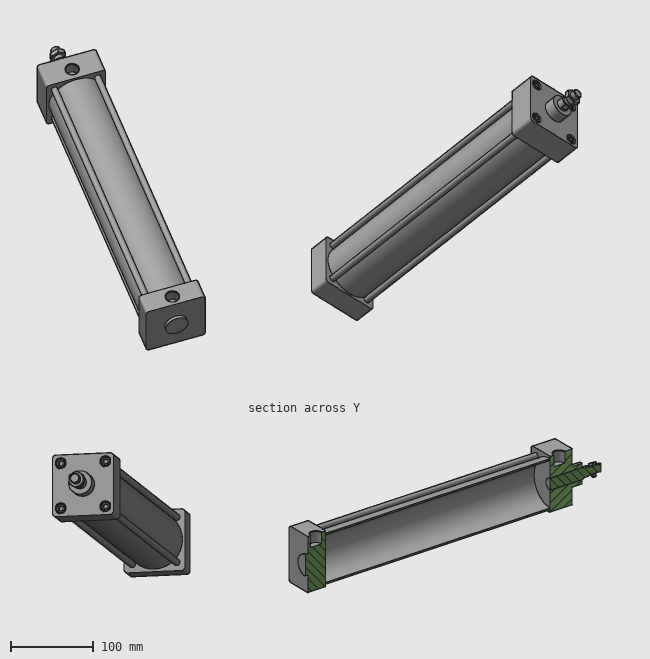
import cadquery as cq
import math

LENGTH = 447.5
TIP_X = -LENGTH / 2

CAP_WIDTH = 76.0
CAP_CORNER_RADIUS = 4.5
FRONT_CAP_LENGTH = 34.0
REAR_CAP_LENGTH = 27.0
BOSS_DIAMETER = 28.5
FRONT_BOSS_LENGTH = 14.8
REAR_BOSS_LENGTH = 4.0
FRONT_CAP_SETBACK = 43.5
FRONT_CAP_X = TIP_X + FRONT_CAP_SETBACK
REAR_CAP_END_X = LENGTH / 2 - REAR_BOSS_LENGTH
FRONT_CAP_END_X = FRONT_CAP_X + FRONT_CAP_LENGTH
REAR_CAP_X = REAR_CAP_END_X - REAR_CAP_LENGTH

PORT_DIAMETER = 15.5
PORT_CHAMFER = 1.0
PORT_DEPTH = 15.5
FRONT_PORT_OFFSET = 19.5
REAR_PORT_OFFSET = 14.5

TUBE_DIAMETER = 70.0
TUBE_BORE = 63.5

TIE_ROD_SPACING = 55.5
SHANK_DIAMETER = 8.0
HEAD_DIAMETER = 11.5
HEAD_LENGTH = 8.0
HEAD_RECESS = 1.0
COUNTERBORE_DIAMETER = 13.5
HEAD_CHAMFER = 1.0
SOCKET_FLATS = 6.0
SOCKET_DEPTH = 4.0
REAR_HOLE_DEPTH = 18.0
TIE_ROD_CENTRES = [
    (y_side * TIE_ROD_SPACING / 2, z_side * TIE_ROD_SPACING / 2)
    for y_side in (-1, 1)
    for z_side in (-1, 1)
]

ROD_DIAMETER = 15.5
THREAD_LENGTH = 19.3
ROD_SHOULDER_X = TIP_X + THREAD_LENGTH
ROD_FLATS = 14.0
ROD_FLAT_LENGTH = 7.0
THREAD_DIAMETER = 11.5
THREAD_CHAMFER = 0.65

NUT_SETBACK = 7.0
NUT_X = TIP_X + NUT_SETBACK
NUT_THICKNESS = 6.0
NUT_FLATS = 18.0
NUT_CHAMFER_LENGTH = 0.65


def cylinder_x(x_start, x_end, diameter, y=0.0, z=0.0):
    """Cylinder along X between two X positions."""
    plane = cq.Workplane("YZ", origin=(x_start, y, z))
    return plane.circle(diameter / 2).extrude(x_end - x_start)


def hexagon_x(x_start, x_end, across_flats, y=0.0, z=0.0):
    """Hexagonal prism along X with two of its corners pointing along Z."""
    across_corners = across_flats / math.cos(math.pi / 6)
    plane = cq.Workplane("YZ", origin=(x_start, y, z))
    prism = plane.polygon(6, across_corners).extrude(x_end - x_start)
    return prism.rotate((x_start, y, z), (x_end, y, z), 90)


def cap_block(x_start, length):
    """Square block with its four long edges rounded."""
    block = cq.Workplane("YZ", origin=(x_start, 0, 0)).rect(CAP_WIDTH, CAP_WIDTH).extrude(length)
    return block.edges("|X").fillet(CAP_CORNER_RADIUS)


def port(x):
    """Volume of a port that opens in the top face with a chamfered mouth."""
    plane = cq.Workplane("XY", origin=(x, 0, CAP_WIDTH / 2))
    bore = plane.circle(PORT_DIAMETER / 2).extrude(-PORT_DEPTH)
    mouth_radius = PORT_DIAMETER / 2 + PORT_CHAMFER
    mouth = cq.Solid.makeCone(
        mouth_radius, PORT_DIAMETER / 2, PORT_CHAMFER,
        cq.Vector(x, 0, CAP_WIDTH / 2), cq.Vector(0, 0, -1),
    )
    return bore.union(cq.Workplane(mouth))


def make_front_cap():
    cap = cap_block(FRONT_CAP_X, FRONT_CAP_LENGTH)
    cap = cap.union(cylinder_x(FRONT_CAP_X - FRONT_BOSS_LENGTH, FRONT_CAP_X, BOSS_DIAMETER))
    cap = cap.cut(port(FRONT_CAP_X + FRONT_PORT_OFFSET))
    cap = cap.cut(cylinder_x(FRONT_CAP_X - FRONT_BOSS_LENGTH, FRONT_CAP_END_X, ROD_DIAMETER))
    counterbore_end_x = FRONT_CAP_X + HEAD_RECESS + HEAD_LENGTH
    for y, z in TIE_ROD_CENTRES:
        cap = cap.cut(cylinder_x(FRONT_CAP_X, FRONT_CAP_END_X, SHANK_DIAMETER, y, z))
        cap = cap.cut(cylinder_x(FRONT_CAP_X, counterbore_end_x, COUNTERBORE_DIAMETER, y, z))
    return cap


def make_rear_cap():
    cap = cap_block(REAR_CAP_X, REAR_CAP_LENGTH)
    cap = cap.union(cylinder_x(REAR_CAP_END_X, REAR_CAP_END_X + REAR_BOSS_LENGTH, BOSS_DIAMETER))
    cap = cap.cut(port(REAR_CAP_X + REAR_PORT_OFFSET))
    for y, z in TIE_ROD_CENTRES:
        cap = cap.cut(cylinder_x(REAR_CAP_X, REAR_CAP_X + REAR_HOLE_DEPTH, SHANK_DIAMETER, y, z))
    return cap


def make_tube():
    outside = cylinder_x(FRONT_CAP_END_X, REAR_CAP_X, TUBE_DIAMETER)
    return outside.cut(cylinder_x(FRONT_CAP_END_X, REAR_CAP_X, TUBE_BORE))


def make_tie_rod(y, z):
    head_x = FRONT_CAP_X + HEAD_RECESS
    head_end_x = head_x + HEAD_LENGTH
    rod = cylinder_x(head_x, head_end_x, HEAD_DIAMETER, y, z).faces("<X").chamfer(HEAD_CHAMFER)
    rod = rod.union(cylinder_x(head_end_x, REAR_CAP_X + REAR_HOLE_DEPTH, SHANK_DIAMETER, y, z))
    return rod.cut(hexagon_x(head_x, head_x + SOCKET_DEPTH, SOCKET_FLATS, y, z))


def make_piston_rod():
    thread = cylinder_x(TIP_X, ROD_SHOULDER_X, THREAD_DIAMETER).faces("<X").chamfer(THREAD_CHAMFER)
    rod = cylinder_x(ROD_SHOULDER_X, FRONT_CAP_END_X, ROD_DIAMETER)
    for side in (-1, 1):
        flat_cut = cq.Workplane("XY").box(ROD_FLAT_LENGTH, ROD_DIAMETER, ROD_DIAMETER)
        flat_z = side * (ROD_FLATS + ROD_DIAMETER) / 2
        rod = rod.cut(flat_cut.translate((ROD_SHOULDER_X + ROD_FLAT_LENGTH / 2, 0, flat_z)))
    return rod.union(thread)


def make_nut():
    nut = hexagon_x(NUT_X, NUT_X + NUT_THICKNESS, NUT_FLATS)
    disc_diameter = NUT_FLATS / math.cos(math.pi / 6)
    disc = cylinder_x(NUT_X, NUT_X + NUT_THICKNESS, disc_diameter)
    nut = nut.intersect(disc.edges().chamfer(NUT_CHAMFER_LENGTH, (disc_diameter - NUT_FLATS) / 2))
    return nut.cut(cylinder_x(NUT_X, NUT_X + NUT_THICKNESS, THREAD_DIAMETER))


front_cap = make_front_cap()
rear_cap = make_rear_cap()
tube = make_tube()
tie_rods = [make_tie_rod(y, z) for y, z in TIE_ROD_CENTRES]
piston_rod = make_piston_rod()
nut = make_nut()

result = cq.Compound.makeCompound(
    [
        front_cap.val(),
        rear_cap.val(),
        tube.val(),
        *[tie_rod.val() for tie_rod in tie_rods],
        piston_rod.val(),
        nut.val(),
    ]
)